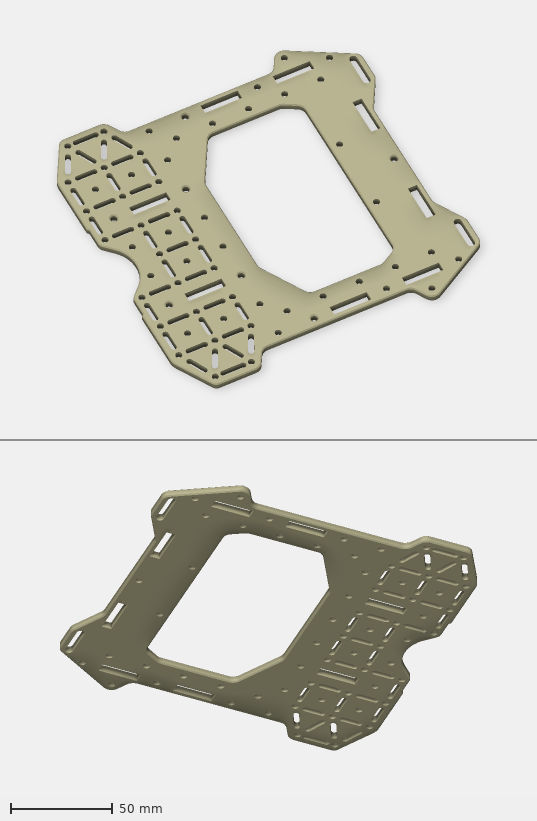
import cadquery as cq
import math

pitch = 10.0
half_size = 85.0
thickness = 4.0
edge_chamfer = 0.6
corner_radius = 5.0
shallow_slope = math.radians(30)
steep_slope = math.radians(60)

waist_x = 75.0
top_recess_x = 32.0
top_recess_y = 75.0
foot_corner_radius = 3.75
foot_inner_x = 62.7
foot_inner_radius = 8.0

relief_x = 30.0
relief_depth = 1.0

flank_slope = math.radians(45)
cutout_radius = 17.5
cutout_top_y = -73.1
cutout_corner_radius = 4.0

window_x = 55.0
window_top_x = 49.5
window_top_y = 45.0
window_bottom_x = 29.0
window_bottom_y = -20.0
window_radius = 5.0

hole_diameter = 3.5
countersunk_diameter = 3.4
countersink_rim = 4.7
countersink_angle = 90.0
slot_width = 3.0
slot_length = 12.0
foot_slot_length = 14.0
diagonal_slot_length = 12.3
ear_slot_width = 4.0
ear_slot_length = 18.5
ear_slot_x = 56.6
strap_width = 5.0
strap_length = 20.5


def mirrored(points):
    """Add the mirror image in X of every point that is off the centre line."""
    return points + [(-x, y) for x, y in points if x != 0]


def grid(columns, rows):
    """Grid points, mirrored in X, from column and row numbers counted in pitches."""
    return mirrored([(column * pitch, row * pitch) for row in rows for column in columns])


def rounded_prism(right_corners):
    """Plate-thick prism, symmetric in X, from its right-hand (x, y, radius) corners."""
    right = [(x, y) for x, y, radius in right_corners]
    left = [(-x, y) for x, y in reversed(right)]
    prism = cq.Workplane("XY").polyline(right + left).close().extrude(thickness)
    for x, y, radius in right_corners:
        for corner_x in (x, -x):
            corner = cq.selectors.NearestToPointSelector((corner_x, y, thickness / 2))
            prism = prism.edges("|Z").edges(corner).fillet(radius)
    return prism


def make_outline():
    arc_x = half_size - corner_radius
    ear_y = 5 * pitch
    foot_top_y = -5 * pitch

    shallow_offset = corner_radius * math.tan((math.pi / 2 - shallow_slope) / 2)
    waist_drop = (half_size - waist_x) * math.tan(shallow_slope)

    ear_tip_x = arc_x + corner_radius * (math.sin(steep_slope) + math.sin(shallow_slope))
    ear_tip_y = ear_y + corner_radius * (math.cos(steep_slope) - math.cos(shallow_slope))

    ear_outer_x = ear_tip_x - (half_size - ear_tip_y) / math.tan(steep_slope)
    ear_inner_x = top_recess_x + (half_size - top_recess_y) / math.tan(shallow_slope)
    waist_top_y = ear_tip_y - (ear_tip_x - waist_x) * math.tan(shallow_slope)
    foot_high_y = foot_top_y + shallow_offset
    waist_bottom_y = foot_high_y + waist_drop
    foot_low_y = (half_size - foot_inner_x) * math.tan(shallow_slope) - half_size

    return rounded_prism([
        (top_recess_x, top_recess_y, corner_radius),
        (ear_inner_x, half_size, corner_radius),
        (ear_outer_x, half_size, corner_radius),
        (ear_tip_x, ear_tip_y, corner_radius),
        (waist_x, waist_top_y, corner_radius),
        (waist_x, waist_bottom_y, corner_radius),
        (half_size, foot_high_y, corner_radius),
        (half_size, foot_low_y, foot_corner_radius),
        (foot_inner_x, -half_size, foot_inner_radius),
    ])


def bottom_cutout():
    """Shallow relief along the bottom edge, opening into the round cutout."""
    relief_y = relief_depth - half_size
    relief_end_x = relief_x - relief_depth

    flank_x = cutout_radius * math.sin(flank_slope)
    flank_y = cutout_top_y - cutout_radius * (1 - math.cos(flank_slope))
    mouth_x = flank_x + (flank_y - relief_y) / math.tan(flank_slope)

    half_turn = flank_slope / 2
    tangent_length = cutout_corner_radius * math.tan(half_turn)
    corner_start_x = mouth_x - tangent_length * math.cos(flank_slope)
    corner_start_y = relief_y + tangent_length * math.sin(flank_slope)
    corner_end_x = mouth_x + tangent_length
    corner_mid_x = corner_end_x - cutout_corner_radius * math.sin(half_turn)
    corner_mid_y = relief_y + cutout_corner_radius * (1 - math.cos(half_turn))

    return (
        cq.Workplane("XY")
        .moveTo(-relief_x, -half_size)
        .lineTo(-relief_end_x, relief_y)
        .lineTo(-corner_end_x, relief_y)
        .threePointArc((-corner_mid_x, corner_mid_y), (-corner_start_x, corner_start_y))
        .lineTo(-flank_x, flank_y)
        .threePointArc((0, cutout_top_y), (flank_x, flank_y))
        .lineTo(corner_start_x, corner_start_y)
        .threePointArc((corner_mid_x, corner_mid_y), (corner_end_x, relief_y))
        .lineTo(relief_end_x, relief_y)
        .lineTo(relief_x, -half_size)
        .close()
        .extrude(thickness)
    )


def window():
    upper_y = window_top_y - (window_x - window_top_x) * math.tan(steep_slope)
    lower_y = window_bottom_y + (window_x - window_bottom_x) * math.tan(shallow_slope)
    return rounded_prism([
        (window_top_x, window_top_y, window_radius),
        (window_x, upper_y, window_radius),
        (window_x, lower_y, window_radius),
        (window_bottom_x, window_bottom_y, window_radius),
    ])


def drill_holes(plate):
    plain = (
        grid([8], [5, -5, -7])
        + grid([7], [7, 3, -3])
        + grid([6], [6, 4, 2, 0, -2])
        + grid([2], [5])
        + grid([1, 5], [-3, -5, -7])
        + grid([0, 2, 4, 6], [-4, -6])
        + grid([2, 4, 6], [-8])
    )
    countersunk = grid([0], [7]) + grid([7], [-1]) + grid([3], [-3, -7])
    top = plate.faces(">Z").workplane(origin=(0, 0, thickness))
    plate = top.pushPoints(plain).hole(hole_diameter)
    top = plate.faces(">Z").workplane(origin=(0, 0, thickness))
    return top.pushPoints(countersunk).cskHole(countersunk_diameter, countersink_rim, countersink_angle)


def slots(centres, length, width, angle=0):
    """Round-ended through slots."""
    return cq.Workplane("XY").pushPoints(centres).slot2D(length, width, angle).extrude(thickness)


def diagonal_slots():
    """Slots along the lines from the two outer foot holes to the holes two columns inward."""
    tilt = math.degrees(math.atan2(1, 2))
    rising_inward = [(7 * pitch, -4.5 * pitch), (7 * pitch, -6.5 * pitch)]
    falling_inward = [(7 * pitch, -5.5 * pitch), (7 * pitch, -7.5 * pitch)]
    cutter = cq.Workplane("XY")
    for side in (1, -1):
        for centres, angle in ((rising_inward, -tilt), (falling_inward, tilt)):
            side_centres = [(side * x, y) for x, y in centres]
            cutter = cutter.add(slots(side_centres, diagonal_slot_length, slot_width, side * angle))
    return cutter.combine()


def cut_slots(plate):
    across = grid([1, 5], [-4, -6]) + grid([3, 5], [-8])
    along = grid([0, 2, 4, 6], [-5]) + grid([2, 4, 6], [-7])
    ear = mirrored([(ear_slot_x, 8 * pitch)])
    plate = plate.cut(slots(across, slot_length, slot_width))
    plate = plate.cut(slots(along, slot_length, slot_width, 90))
    plate = plate.cut(slots(grid([8], [-6]), foot_slot_length, slot_width, 90))
    plate = plate.cut(slots(ear, ear_slot_length, ear_slot_width))
    return plate.cut(diagonal_slots())


def strap_slots(centres, size_x, size_y):
    return cq.Workplane("XY").pushPoints(centres).rect(size_x, size_y).extrude(thickness)


def cut_strap_slots(plate):
    """Cut the rectangular slots for straps."""
    across = grid([3], [7])
    along = grid([7], [5, 1]) + grid([3], [-5])
    plate = plate.cut(strap_slots(across, strap_length, strap_width))
    return plate.cut(strap_slots(along, strap_width, strap_length))


plate = make_outline().cut(bottom_cutout()).cut(window())
plate = plate.faces("<Z or >Z").edges().chamfer(edge_chamfer)
plate = drill_holes(plate)
plate = cut_slots(plate)
result = cut_strap_slots(plate).solids()